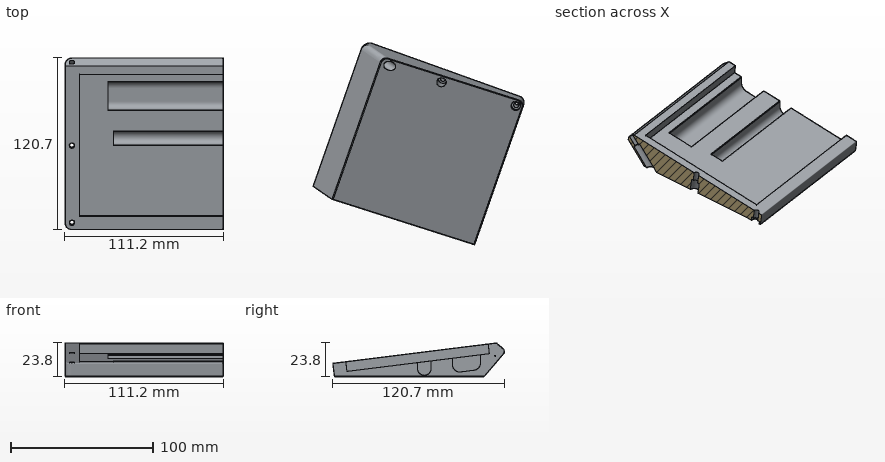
import cadquery as cq
import math

WIDTH = 111.21
DEPTH = 120.65
HEIGHT = 23.79

TILT_ANGLE = 7.1
PLATE_THICKNESS = 7.62
BEVEL_RUN = 5.7
BEVEL_ANGLE = 40.5
CORNER_RADIUS = 4.76
FOOT_CHAMFER = 0.5
RIM_RADIUS = 0.45

POCKET_DEPTH = 6.9
POCKET_LEFT = 10.3
POCKET_FRONT = 9.25
POCKET_REAR = 110.1

GROOVE_RIM_CHAMFER = 0.4
LONG_GROOVE_LEFT = 30.2
LONG_GROOVE_FRONT = 84.15
LONG_GROOVE_WIDTH = 19.6
LONG_GROOVE_DEPTH = 10.3
LONG_GROOVE_FILLET = 5.0
SHORT_GROOVE_LEFT = 34.2
SHORT_GROOVE_FRONT = 59.5
SHORT_GROOVE_WIDTH = 9.6
SHORT_GROOVE_DEPTH = 9.5

HOLE_DIAMETER = 3.6
COUNTERBORE_DIAMETER = 6.5
HOLE_INSET = 4.85
MIDDLE_HOLE = 59.5
BEVEL_HOLE = 3.6

OVERSHOOT = 30.0
tilt = math.radians(TILT_ANGLE)
bevel = math.radians(BEVEL_ANGLE)

UPHILL = cq.Vector(0, math.cos(tilt), math.sin(tilt))
PLATE_INWARD = cq.Vector(0, math.sin(tilt), -math.cos(tilt))
BEVEL_DOWNHILL = cq.Vector(0, math.cos(bevel), -math.sin(bevel))
BEVEL_INWARD = cq.Vector(0, -math.sin(bevel), -math.cos(bevel))
REARWARD = cq.Vector(0, 1, 0)
UPWARD = cq.Vector(0, 0, 1)


def meet(start, direction, other_start, other_direction):
    """Point where two lines of the YZ plane cross."""
    gap = other_start - start
    cross = direction.y * other_direction.z - direction.z * other_direction.y
    travel = (gap.y * other_direction.z - gap.z * other_direction.y) / cross
    return start + direction * travel


RIDGE = cq.Vector(0, DEPTH - BEVEL_RUN, HEIGHT)
front_overhang = cq.Vector(0, -RIM_RADIUS * math.sin(tilt), 0)
FRONT_TOP = meet(RIDGE, UPHILL, front_overhang, UPWARD)
FRONT_FOOT = meet(FRONT_TOP, PLATE_INWARD, cq.Vector(0, 0, 0), REARWARD)
underside_front = FRONT_TOP + PLATE_INWARD * PLATE_THICKNESS
REARMOST = meet(underside_front, UPHILL, cq.Vector(0, DEPTH, 0), UPWARD)
BEVEL_FOOT = meet(RIDGE, BEVEL_DOWNHILL, REARMOST, PLATE_INWARD)
REAR_FOOT = meet(REARMOST, BEVEL_INWARD, cq.Vector(0, 0, 0), REARWARD)


def plate_plane(origin):
    """Work plane parallel to the plate top: local x is X, local y is uphill."""
    return cq.Plane(origin=origin.toTuple(), xDir=(1, 0, 0), normal=(-PLATE_INWARD).toTuple())


def yz_points(points):
    return [(point.y, point.z) for point in points]


def corner_cutter(corner, side, sweep):
    """Waste outside a rounded left corner, swept along a vector.

    side is 1 where the part lies uphill of the corner and -1 where it lies downhill.
    """
    arc_middle = CORNER_RADIUS * (1 - math.sqrt(0.5))
    section = (
        cq.Workplane(plate_plane(corner))
        .moveTo(CORNER_RADIUS, 0)
        .threePointArc((arc_middle, side * arc_middle), (0, side * CORNER_RADIUS))
        .lineTo(-OVERSHOOT, side * CORNER_RADIUS)
        .lineTo(-OVERSHOOT, -side * OVERSHOOT)
        .lineTo(CORNER_RADIUS, -side * OVERSHOOT)
        .close()
        .val()
    )
    return cq.Workplane(cq.Solid.extrudeLinear(section, [], sweep))


def make_body():
    """Side profile across the full width, with rounded left corners."""
    profile = [FRONT_FOOT, FRONT_TOP, RIDGE, BEVEL_FOOT, REARMOST, REAR_FOOT]
    body = cq.Workplane("YZ").polyline(yz_points(profile)).close().extrude(WIDTH)
    through_plate = PLATE_INWARD * PLATE_THICKNESS
    body = body.cut(corner_cutter(FRONT_TOP, 1, PLATE_INWARD * OVERSHOOT))
    body = body.cut(corner_cutter(REARMOST - through_plate, -1, through_plate))
    return body.cut(corner_cutter(REARMOST, -1, BEVEL_INWARD * OVERSHOOT))


def round_rim(body):
    """Round the outer edges of the plate top and the bevel, leaving the ridge sharp."""
    mid_width = cq.Vector(WIDTH / 2, 0, 0)
    plate_middle = (FRONT_TOP + RIDGE) / 2 + mid_width
    bevel_middle = (RIDGE + BEVEL_FOOT) / 2 + mid_width
    ridge_middle = RIDGE + mid_width
    plate_face = body.faces(cq.selectors.NearestToPointSelector(plate_middle.toTuple()))
    bevel_face = body.faces(cq.selectors.NearestToPointSelector(bevel_middle.toTuple()))
    edges = plate_face.edges().vals() + bevel_face.edges().vals()
    rim = [edge for edge in edges if (edge.Center() - ridge_middle).Length > RIM_RADIUS]
    return cq.Workplane(body.val().fillet(RIM_RADIUS, rim))


def make_pocket():
    return (
        cq.Workplane(plate_plane(FRONT_TOP))
        .moveTo(POCKET_LEFT, POCKET_FRONT)
        .rect(WIDTH, POCKET_REAR - POCKET_FRONT, centered=False)
        .extrude(-POCKET_DEPTH)
    )


def pocket_floor_point(y):
    """Point of the pocket floor plane at a given Y."""
    return meet(FRONT_TOP + PLATE_INWARD * POCKET_DEPTH, UPHILL, REARWARD * y, UPWARD)


def make_groove_mouth(left, front, width):
    """Chamfered rims of a groove, open upward into the pocket."""
    front_rim = pocket_floor_point(front)
    rear_rim = pocket_floor_point(front + width)
    outward = REARWARD * GROOVE_RIM_CHAMFER
    down = UPWARD * -GROOVE_RIM_CHAMFER
    up = UPWARD * (POCKET_DEPTH / 2)
    outline = [
        front_rim - outward + up,
        front_rim - outward,
        front_rim + down,
        rear_rim + down,
        rear_rim + outward,
        rear_rim + outward + up,
    ]
    return cq.Workplane("YZ", origin=(left, 0, 0)).polyline(yz_points(outline)).close().extrude(WIDTH)


def make_long_groove():
    """Upright walls, a floor parallel to the plate, and rounded floor edges."""
    front_rim = pocket_floor_point(LONG_GROOVE_FRONT)
    rear_rim = pocket_floor_point(LONG_GROOVE_FRONT + LONG_GROOVE_WIDTH)
    down = UPWARD * -LONG_GROOVE_DEPTH
    outline = [front_rim, front_rim + down, rear_rim + down, rear_rim]
    groove = (
        cq.Workplane("YZ", origin=(LONG_GROOVE_LEFT, 0, 0))
        .polyline(yz_points(outline))
        .close()
        .extrude(WIDTH)
    )
    groove = groove.faces("<Z").edges("|X").fillet(LONG_GROOVE_FILLET)
    return groove.union(make_groove_mouth(LONG_GROOVE_LEFT, LONG_GROOVE_FRONT, LONG_GROOVE_WIDTH))


def make_short_groove():
    """Upright walls that run into a half-round bottom."""
    rear = SHORT_GROOVE_FRONT + SHORT_GROOVE_WIDTH
    radius = SHORT_GROOVE_WIDTH / 2
    front_rim = pocket_floor_point(SHORT_GROOVE_FRONT)
    rear_rim = pocket_floor_point(rear)
    middle = (front_rim + rear_rim) / 2
    bottom_z = middle.z - SHORT_GROOVE_DEPTH
    groove = (
        cq.Workplane("YZ", origin=(SHORT_GROOVE_LEFT, 0, 0))
        .moveTo(front_rim.y, front_rim.z)
        .lineTo(front_rim.y, bottom_z + radius)
        .threePointArc((middle.y, bottom_z), (rear, bottom_z + radius))
        .lineTo(rear_rim.y, rear_rim.z)
        .close()
        .extrude(WIDTH)
    )
    return groove.union(make_groove_mouth(SHORT_GROOVE_LEFT, SHORT_GROOVE_FRONT, SHORT_GROOVE_WIDTH))


def make_screw_hole(surface_point, inward):
    """Bore through the plate thickness, widened from there to the underside."""
    start = surface_point + cq.Vector(HOLE_INSET, 0, 0)
    seat = start + inward * PLATE_THICKNESS
    bore = cq.Solid.makeCylinder(HOLE_DIAMETER / 2, OVERSHOOT, start, inward)
    counterbore = cq.Solid.makeCylinder(COUNTERBORE_DIAMETER / 2, OVERSHOOT, seat, inward)
    return cq.Workplane(bore.fuse(counterbore))


result = make_body().faces("<Z").chamfer(FOOT_CHAMFER)
result = round_rim(result)
result = result.cut(make_pocket())
result = result.cut(make_long_groove())
result = result.cut(make_short_groove())
result = result.cut(make_screw_hole(FRONT_TOP + UPHILL * HOLE_INSET, PLATE_INWARD))
result = result.cut(make_screw_hole(FRONT_TOP + UPHILL * MIDDLE_HOLE, PLATE_INWARD))
result = result.cut(make_screw_hole(RIDGE + BEVEL_DOWNHILL * BEVEL_HOLE, BEVEL_INWARD))